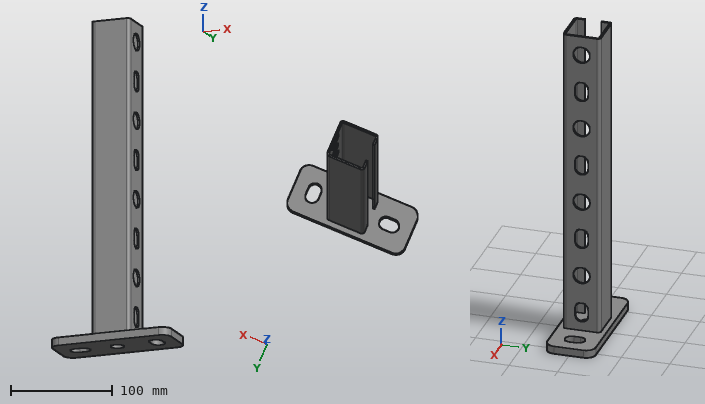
import cadquery as cq

plate_length = 125.0
plate_width = 50.0
plate_thickness = 8.2
plate_corner_radius = 10.0

bolt_diameter = 13.5
slot_length = 20.5
lengthwise_slot_x = -39.0
crosswise_slot_x = 41.5

total_height = 328.0
channel_depth = 40.0
channel_width = 38.5
wall = 2.0
outer_bend_radius = 3.3
inner_bend_radius = outer_bend_radius - wall
mouth_width = 17.0

perforation_count = 4
perforation_pitch = 80.0
round_hole_diameter = 17.0
top_hole_offset = 20.0


def make_plate():
    plate = (
        cq.Workplane("XY")
        .box(plate_length, plate_width, plate_thickness, centered=(True, True, False))
        .edges("|Z")
        .fillet(plate_corner_radius)
    )
    openings = cq.Workplane("XY").circle(bolt_diameter / 2).extrude(plate_thickness)
    for slot_x, angle in ((lengthwise_slot_x, 0), (crosswise_slot_x, 90)):
        slot = (
            cq.Workplane("XY")
            .center(slot_x, 0)
            .slot2D(slot_length, bolt_diameter, angle)
            .extrude(plate_thickness)
        )
        openings = openings.union(slot)
    return plate.cut(openings)


def rounded_column(depth, width, radius):
    """Rectangular column standing on the plate, with rounded upright edges."""
    return (
        cq.Workplane("XY", origin=(0, 0, plate_thickness))
        .rect(depth, width)
        .extrude(total_height - plate_thickness)
        .edges("|Z")
        .fillet(radius)
    )


def make_channel():
    outside = rounded_column(channel_depth, channel_width, outer_bend_radius)
    inside = rounded_column(channel_depth - 2 * wall, channel_width - 2 * wall, inner_bend_radius)
    mouth = cq.Workplane("XY").box(
        channel_depth / 2, mouth_width, total_height, centered=(True, True, False)
    ).translate((-channel_depth / 2, 0, 0))
    return outside.cut(inside).cut(mouth)


def make_perforations():
    """Cutters running along +X from the channel axis through the back wall."""
    hole_heights = [
        total_height - top_hole_offset - i * perforation_pitch for i in range(perforation_count)
    ]
    hole_points = [(0, z) for z in hole_heights]
    slot_points = [(0, z - perforation_pitch / 2) for z in hole_heights]
    holes = (
        cq.Workplane("YZ")
        .pushPoints(hole_points)
        .circle(round_hole_diameter / 2)
        .extrude(channel_depth)
    )
    slots = (
        cq.Workplane("YZ")
        .pushPoints(slot_points)
        .slot2D(slot_length, bolt_diameter, 90)
        .extrude(channel_depth)
    )
    return holes.union(slots)


result = make_plate().union(make_channel().cut(make_perforations()))